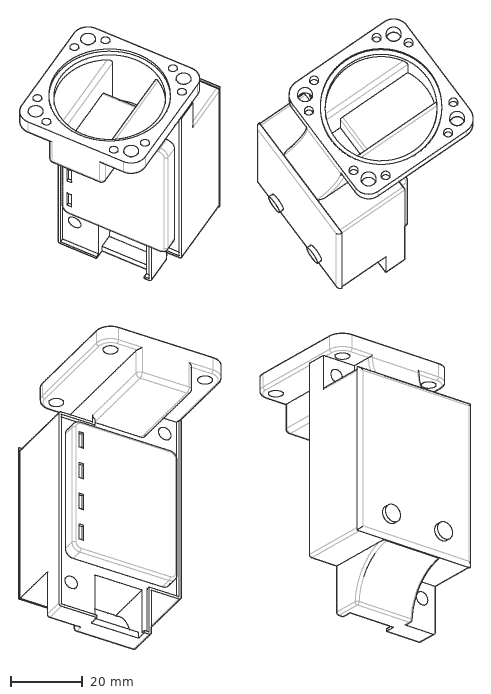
import cadquery as cq
import math


height = 80.0
width = 39.4
wall = 2.0
edge_radius = 0.8

box_bottom = 15.05
box_top = 65.3
box_back = 21.8
slab_back = 6.5
rim_width = 0.8
rim_depth = 1.2
slab_foot_right = 29.8
panel_back = rim_depth + wall

mount_hole_diameter = 4.0
mount_hole_height = 10.0
mount_hole_inset = 4.65

panel_width = 33.6
panel_height = 43.5
panel_front = -3.3
panel_corner_radius = 2.5
panel_left = 2.8
panel_middle_z = height / 2

slot_count = 4
slot_width = 1.45
slot_height = 5.05
slot_pitch = 10.3
slot_depth = 0.8
slot_center_x = 5.4

flange_thickness = 5.0
flange_front = -25.6
flange_corner_radius = 4.5
flange_bottom = height - flange_thickness
flange_back = flange_front + width
flange_center_x = width / 2
flange_center_y = flange_front + width / 2

flange_hole_diameter = 4.2
flange_hole_depth = flange_thickness
flange_hole_offset = width / 2 - flange_corner_radius
screw_hole_diameter = 2.5
screw_hole_depth = 3.2
screw_hole_near = 10.7
screw_hole_far = 17.1

seat_diameter = 33.9
seat_depth = 1.0
opening_diameter = 31.2
opening_depth = 3.05
opening_floor = height - opening_depth

inlet_width = 17.6
inlet_bottom = 66.25
inlet_edge_radius = 1.3
inlet_bend_radius = 10.0
inlet_left = flange_center_x - inlet_width / 2
throat_width = 13.6
throat_lip_radius = 1.3
throat_floor = inlet_bottom + wall
throat_bottom = 60.0

outlet_window_width = 15.2
outlet_center_x = 19.85
outlet_width = 2 * (slab_foot_right - outlet_center_x)
outlet_bend_radius = box_bottom
outlet_back = 9.3
outlet_bend_y = outlet_back + outlet_bend_radius
outlet_floor_radius = outlet_bend_radius + wall

cover_thickness = 1.3
cover_overhang = 0.3
cover_edge_radius = 1.2
cover_back = box_back + cover_thickness
peg_diameter = 5.3
peg_length = 1.4
peg_height = 22.5
peg_spacing = 18.3
peg_middle_x = 19.5


def block(x_min, x_max, y_min, y_max, z_min, z_max):
    """Box between two opposite corners."""
    size = (x_max - x_min, y_max - y_min, z_max - z_min)
    return cq.Workplane("XY").box(*size, centered=False).translate((x_min, y_min, z_min))


def extrude_across(profile, center_x, across):
    """Extrude a YZ profile along X, centred on center_x."""
    return profile.extrude(across / 2, both=True).translate((center_x, 0, 0))


def slab_outline(inset):
    """Stepped front outline, moved inwards by inset on every side except under the flange."""
    return (
        cq.Workplane("XZ")
        .moveTo(inset, inset)
        .lineTo(slab_foot_right - inset, inset)
        .lineTo(slab_foot_right - inset, box_bottom + inset)
        .lineTo(width - inset, box_bottom + inset)
        .lineTo(width - inset, flange_bottom)
        .lineTo(inlet_left + inset, flange_bottom)
        .lineTo(inlet_left + inset, box_top - inset)
        .lineTo(inset, box_top - inset)
        .close()
    )


def make_slab():
    """Front slab with rounded outer corners."""
    slab = slab_outline(0).extrude(-slab_back)
    corners = [
        (0, 0),
        (slab_foot_right, 0),
        (width, box_bottom),
        (0, box_top),
    ]
    for x, z in corners:
        corner = cq.selectors.NearestToPointSelector((x, slab_back / 2, z))
        slab = slab.edges(corner).fillet(edge_radius)
    return slab


def make_box():
    """Main box behind the slab, square only along its lower left edge."""
    box = block(0, width, slab_back, box_back, box_bottom, box_top)
    box = box.edges("|Y and >Z").fillet(edge_radius)
    return box.edges("|Y and <Z and >X").fillet(edge_radius)


def make_flange():
    """Square flange with rounded corners and a rounded lower edge."""
    flange = block(0, width, flange_front, flange_back, flange_bottom, height)
    return flange.edges("|Z").fillet(flange_corner_radius).faces("<Z").edges().fillet(edge_radius)


def make_inlet_scoop():
    """Part of the inlet duct that overhangs in front of the slab."""
    right = inlet_left + inlet_width
    scoop = block(inlet_left, right, flange_front, slab_back, inlet_bottom, height)
    return scoop.edges("(|Z and <Y) or (|Y and <Z) or (|X and <Y and <Z)").fillet(inlet_edge_radius)


def make_inlet_elbow():
    """Rear of the inlet duct, curving from the flange down to the box top."""
    bend_center_y = flange_back + inlet_bend_radius
    drop = flange_bottom - box_top
    bend_end_y = bend_center_y - math.sqrt(inlet_bend_radius**2 - drop**2)
    chord_angle = math.asin(drop / inlet_bend_radius) / 2
    bend_middle = (
        bend_center_y - inlet_bend_radius * math.cos(chord_angle),
        flange_bottom - inlet_bend_radius * math.sin(chord_angle),
    )
    profile = (
        cq.Workplane("YZ")
        .moveTo(panel_back, height)
        .lineTo(flange_back, height)
        .lineTo(flange_back, flange_bottom)
        .threePointArc(bend_middle, (bend_end_y, box_top))
        .lineTo(bend_end_y, box_top - wall)
        .lineTo(panel_back, box_top - wall)
        .close()
    )
    elbow = extrude_across(profile, flange_center_x, inlet_width)
    side_faces = elbow.faces("<X or >X")
    bend = cq.selectors.BoxSelector(
        (0, flange_back - edge_radius / 2, box_top + edge_radius),
        (width, box_back, height - edge_radius),
    )
    return side_faces.edges(bend).fillet(edge_radius)


def arc_point(radius, run):
    """Point of the outlet bend circle at a horizontal distance run in front of its centre."""
    return (outlet_bend_y - run, math.sqrt(radius**2 - run**2))


def make_outlet_duct():
    """Outlet duct, curving from the back of the box down to the underside."""
    profile = (
        cq.Workplane("YZ")
        .moveTo(panel_back, 0)
        .lineTo(outlet_back, 0)
        .threePointArc(
            arc_point(outlet_bend_radius, outlet_bend_radius * math.cos(math.pi / 4)),
            arc_point(outlet_bend_radius, outlet_bend_y - box_back),
        )
        .lineTo(box_back, box_bottom + wall)
        .lineTo(panel_back, box_bottom + wall)
        .close()
    )
    duct = extrude_across(profile, outlet_center_x, outlet_width)
    duct = duct.edges("|Y and <Z").fillet(edge_radius)
    bend = cq.selectors.BoxSelector(
        (0, outlet_back - edge_radius / 2, edge_radius),
        (width, box_back - edge_radius, box_bottom),
    )
    return duct.edges("not |X").edges(bend).fillet(edge_radius)


def make_display_panel():
    """Raised panel with rounded corners, a rounded front edge and a column of slots."""
    bottom = panel_middle_z - panel_height / 2
    panel = block(
        panel_left, panel_left + panel_width, panel_front, panel_back, bottom, bottom + panel_height
    )
    panel = panel.edges("|Y").fillet(panel_corner_radius).faces("<Y").edges().fillet(edge_radius)
    for index in range(slot_count):
        slot_z = panel_middle_z + (index - (slot_count - 1) / 2) * slot_pitch
        slot = cq.Workplane("XY").box(slot_width, 2 * slot_depth, slot_height)
        panel = panel.cut(slot.translate((slot_center_x, panel_front, slot_z)))
    return panel


def make_inlet_throat():
    """Passage under the round opening: flared sides, a shallow front floor and a deep rear."""
    half_width = throat_width / 2
    half_mouth = half_width + throat_lip_radius
    lip_start = opening_floor - throat_lip_radius
    across = (
        cq.Workplane("XZ")
        .moveTo(-half_width, throat_bottom)
        .lineTo(half_width, throat_bottom)
        .lineTo(half_width, lip_start)
        .radiusArc((half_mouth, opening_floor), throat_lip_radius)
        .lineTo(-half_mouth, opening_floor)
        .radiusArc((-half_width, lip_start), throat_lip_radius)
        .close()
        .extrude(width, both=True)
        .translate((flange_center_x, 0, 0))
    )
    along = (
        cq.Workplane("YZ")
        .moveTo(flange_front, throat_floor)
        .lineTo(panel_back - edge_radius, throat_floor)
        .radiusArc((panel_back, throat_floor - edge_radius), edge_radius)
        .lineTo(panel_back, throat_bottom)
        .lineTo(box_back, throat_bottom)
        .lineTo(box_back, opening_floor)
        .lineTo(flange_front, opening_floor)
        .close()
        .extrude(width)
    )
    round_shaft = (
        cq.Workplane("XY", origin=(flange_center_x, flange_center_y, throat_bottom))
        .circle(opening_diameter / 2)
        .extrude(opening_floor - throat_bottom)
    )
    return round_shaft.intersect(across).intersect(along)


def make_outlet_passage():
    """Window in the slab and the passage behind it, floored by the curved duct wall."""
    start_run = math.sqrt(outlet_floor_radius**2 - wall**2)
    end_run = math.sqrt(outlet_floor_radius**2 - box_bottom**2)
    profile = (
        cq.Workplane("YZ")
        .lineTo(panel_back, 0)
        .lineTo(panel_back, wall)
        .lineTo(outlet_bend_y - start_run, wall)
        .threePointArc(
            arc_point(outlet_floor_radius, (start_run + end_run) / 2),
            (outlet_bend_y - end_run, box_bottom),
        )
        .lineTo(0, box_bottom)
        .close()
    )
    return extrude_across(profile, outlet_center_x, outlet_window_width)


def make_mount_holes():
    """Two diagonally opposite holes through the slab."""
    places = [
        (mount_hole_inset, mount_hole_height),
        (width - mount_hole_inset, height - mount_hole_height),
    ]
    return cq.Workplane("XZ").pushPoints(places).circle(mount_hole_diameter / 2).extrude(-slab_back)


def cut_flange_openings(body):
    """Stepped round opening, four corner holes and eight blind screw holes in the flange."""
    top = cq.Workplane("XY", origin=(flange_center_x, flange_center_y, height))
    seat = top.circle(seat_diameter / 2).extrude(-seat_depth)
    opening = top.circle(opening_diameter / 2).extrude(-opening_depth)
    signs = [(sx, sy) for sx in (-1, 1) for sy in (-1, 1)]
    corner_places = [(sx * flange_hole_offset, sy * flange_hole_offset) for sx, sy in signs]
    screw_places = []
    for sx, sy in signs:
        screw_places.append((sx * screw_hole_near, sy * screw_hole_far))
        screw_places.append((sx * screw_hole_far, sy * screw_hole_near))
    corner_holes = (
        top.pushPoints(corner_places).circle(flange_hole_diameter / 2).extrude(-flange_hole_depth)
    )
    screw_holes = (
        top.pushPoints(screw_places).circle(screw_hole_diameter / 2).extrude(-screw_hole_depth)
    )
    return body.cut(seat).cut(opening).cut(corner_holes).cut(screw_holes)


def make_housing():
    """Complete housing as one solid."""
    body = make_slab().union(make_box()).union(make_outlet_duct())
    body = body.cut(slab_outline(rim_width).extrude(-rim_depth))
    body = body.union(make_inlet_elbow()).union(make_inlet_scoop()).union(make_flange())
    body = body.union(make_display_panel())
    body = body.cut(make_mount_holes()).cut(make_outlet_passage()).cut(make_inlet_throat())
    return cut_flange_openings(body)


def make_back_cover():
    """Back cover with a rounded rear edge and two round pegs."""
    cover = block(
        -cover_overhang, width, box_back, cover_back, box_bottom, box_top + cover_overhang
    )
    cover = cover.faces(">Y").edges().fillet(cover_edge_radius)
    peg_places = [(peg_middle_x + side * peg_spacing / 2, peg_height) for side in (-1, 1)]
    pegs = (
        cq.Workplane("XZ", origin=(0, cover_back, 0))
        .pushPoints(peg_places)
        .circle(peg_diameter / 2)
        .extrude(-peg_length)
    )
    return cover.union(pegs)


housing = make_housing()
back_cover = make_back_cover()
result = cq.Compound.makeCompound([housing.val(), back_cover.val()])